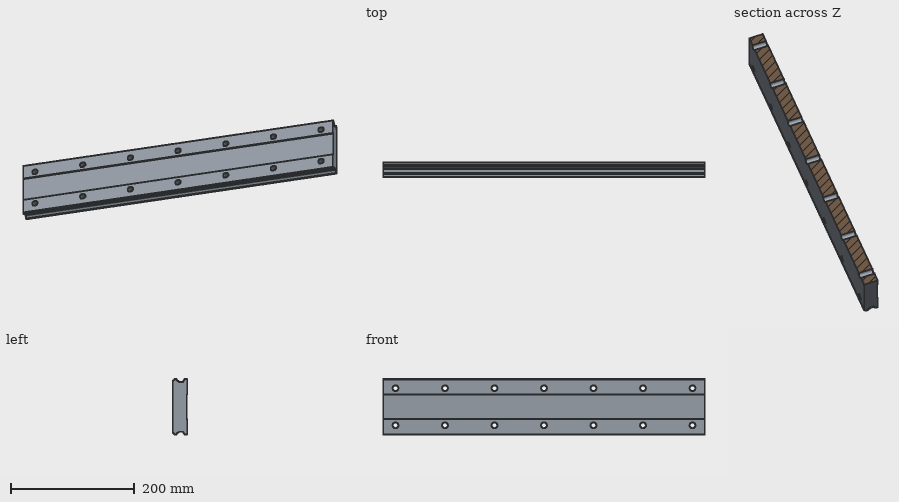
import cadquery as cq
import math

length = 520.0
height = 24.0
width = 90.0

back_chamfer = 3.5
back_land = 2.75
groove_depth = 4.6
race_run = 3.6
race_drop = 3.6
race_sagitta = 0.75
floor_width = 5.8
front_wall_angle = 60.0
front_chamfer = 1.0

relief_width = 41.0
relief_depth = 1.0

hole_diameter = 9.0
hole_pitch = 80.0
holes_per_row = 7
row_spacing = 60.0


def half_rail():
    """Upper half of the constant cross-section, from Z = 0 to the flank, extruded along X."""
    back = height / 2
    front = -back
    top = width / 2
    floor = top - groove_depth
    race_start = back - back_chamfer - back_land
    race_end = race_start - race_run
    floor_bevel = groove_depth - race_drop
    floor_start = race_end - floor_bevel
    floor_end = floor_start - floor_width
    wall_end = floor_end - groove_depth / math.tan(math.radians(front_wall_angle))
    return (
        cq.Workplane("YZ", origin=(-length / 2, 0, 0))
        .moveTo(back, 0)
        .lineTo(back, top - back_chamfer)
        .lineTo(back - back_chamfer, top)
        .lineTo(race_start, top)
        .sagittaArc((race_end, top - race_drop), race_sagitta)
        .lineTo(floor_start, floor)
        .lineTo(floor_end, floor)
        .lineTo(wall_end, top)
        .lineTo(front + front_chamfer, top)
        .lineTo(front, top - front_chamfer)
        .lineTo(front, relief_width / 2)
        .lineTo(front + relief_depth, relief_width / 2 - relief_depth)
        .lineTo(front + relief_depth, 0)
        .close()
        .extrude(length)
    )


def mounting_holes():
    """Two rows of holes running through the height."""
    return (
        cq.Workplane("XZ")
        .rarray(hole_pitch, row_spacing, holes_per_row, 2)
        .circle(hole_diameter / 2)
        .extrude(height, both=True)
    )


upper_half = half_rail()
rail = upper_half.union(upper_half.mirror("XY")).clean()
result = rail.cut(mounting_holes())